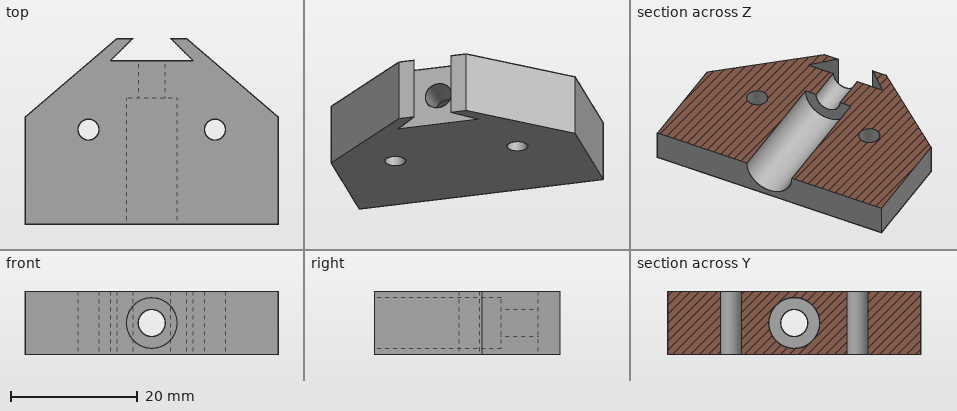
import cadquery as cq

width = 40.0
depth = 29.4
thickness = 10.0

shoulder_y = 17.0
nose_half_width = 5.5
slot_depth = 3.5
slot_mouth_half_width = 3.0
slot_floor_half_width = 6.5
slot_floor_y = depth - slot_depth

mount_diameter = 3.3
mount_spacing = width / 2
mount_y = 15.0

bore_diameter = 8.0
bore_depth = 20.0
pilot_diameter = 4.25


def make_body():
    """Extrude the symmetric outline with its dovetail slot."""
    right_side = [
        (width / 2, 0),
        (width / 2, shoulder_y),
        (nose_half_width, depth),
        (slot_mouth_half_width, depth),
        (slot_floor_half_width, slot_floor_y),
    ]
    left_side = [(-x, y) for x, y in reversed(right_side)]
    return cq.Workplane("XY").polyline(right_side + left_side).close().extrude(thickness)


def mount_holes():
    """Two through holes placed either side of the symmetry plane."""
    centers = [(side * mount_spacing / 2, mount_y) for side in (-1, 1)]
    return cq.Workplane("XY").pushPoints(centers).circle(mount_diameter / 2).extrude(thickness)


def front_cylinder(diameter, length):
    """Cylinder running along +Y from the middle of the front face."""
    front = cq.Workplane("XZ", origin=(0, 0, thickness / 2))
    return front.circle(diameter / 2).extrude(-length)


result = (
    make_body()
    .cut(mount_holes())
    .cut(front_cylinder(bore_diameter, bore_depth))
    .cut(front_cylinder(pilot_diameter, depth))
)